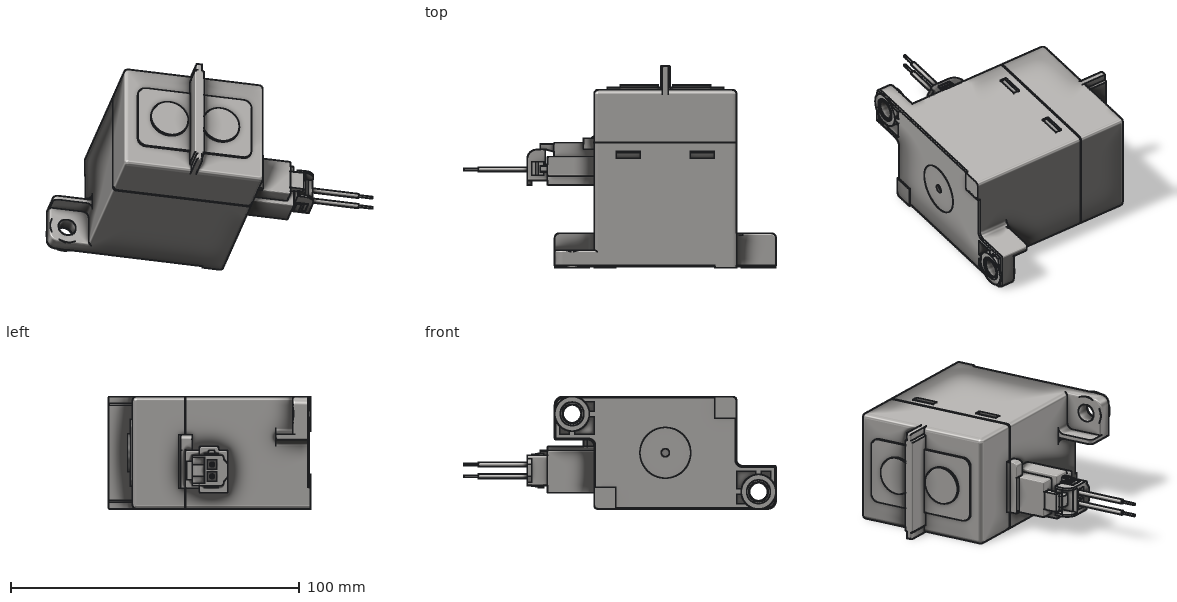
import cadquery as cq
import math


case_width = 49.4
case_height = 39.0
case_end = 61.7
mount_face = 0.4
case_edge_radius = 1.4
end_edge_radius = 1.5
mount_edge_chamfer = 0.5
half_width = case_width / 2
half_height = case_height / 2

ear_reach = 38.4
ear_height = 15.0
ear_thickness = 6.1
ear_corner_radius = 3.0
ear_root_radius = 2.1
ear_wall = 1.9
ear_rib_depth = 12.0
ear_rib_corner_radius = 1.7
ear_edge_radius = 0.7
ear_inner_z = half_height - ear_height
ear_pocket_depth = 4.0
boss_diameter = 12.0
boss_x = -32.3
boss_z = half_height - boss_diameter / 2
boss_web = 1.9
bore_diameter = 6.2
bore_mouth_diameter = 6.8
bore_mouth_depth = 0.3
bore_seat_diameter = 8.2
bore_seat_depth = 0.2

pad_size = 7.5
disc_recess_diameter = 17.6
disc_recess_depth = 0.1
dimple_diameter = 2.8
dimple_depth = 1.0

seam_y = 43.4
seam_width = 0.25
seam_depth = 0.25
window_length = 8.3
window_width = 2.4
window_depth = 1.2
window_x = 12.85
window_y = 39.2
catch_peak_y = 39.8
catch_height = 0.9

plinth_length = 40.4
plinth_height = 23.2
plinth_corner_radius = 3.0
plinth_top = 62.5
terminal_diameter = 13.2
terminal_x = 9.1
terminal_top = 63.4
fin_width = 3.3
fin_end_width = 2.0
fin_end_length = 2.4
fin_taper_length = 0.6
fin_top = 70.0
fin_edge_radius = 0.5

socket_x = -40.9
socket_y_low = 28.6
socket_y_high = 38.5
socket_z_low = -13.9
socket_z_high = 2.2
socket_step_y = 31.8
socket_step_z = 0.9
socket_edge_radius = 0.5
latch_housing_x = -38.6
latch_housing_z_low = -12.3
latch_housing_z_high = 0.9

guard_x = -28.4
guard_y_low = 41.0
guard_y_high = 44.9
guard_foot_y = 45.7
guard_foot_thickness = 1.0
guard_top = 6.3
guard_corner_radius = 1.6
guard_edge_radius = 0.3
guard_plate_thickness = 1.4

plug_z = -6.1
plug_front = -47.9
plug_back = -41.6
plug_y_low = 30.1
plug_y_high = 41.0
plug_height = 10.6
plug_edge_radius = 0.9
front_face_y = 37.6
shoulder_x = -44.4
lip_back = -46.3
lip_y = 28.6
lip_height = 4.2
neck_y_high = 35.9
neck_depth = 6.0
cheek_thickness = 0.8
back_wall_thickness = 0.6
cheek_floor_y = 36.6
latch_root_front = -44.8
latch_root_height = 4.0
latch_root_radius = 1.8
arm_front = -43.4
arm_y_high = 42.9
arm_height = 6.5
arm_depth = 3.0
arm_hook_y = 40.2
grip_steps = [(-46.3, 11.1), (-44.9, 11.5), (-44.0, 11.9)]
grip_back = -42.2
grip_y_low = 32.0
grip_y_high = 36.8
key_y_low = 33.1
key_y_high = 35.4
key_z = 0.8
key_edge_chamfer = 0.3
cavity_size = 3.3
cavity_depth = 1.5

wire_y = 34.1
wire_pitch = 4.1
wire_diameter = 1.6
strand_diameter = 0.8
insulation_end = -64.8
strand_end = -69.8
wire_inner_end = -44.0
wire_zs = (plug_z - wire_pitch / 2, plug_z + wire_pitch / 2)


def box(x0, x1, y0, y1, z0, z1):
    """Axis-aligned block between the given limits."""
    return cq.Workplane("XY").box(x1 - x0, y1 - y0, z1 - z0, centered=False).translate((x0, y0, z0))


def rod_y(diameter, x, z, y0, y1):
    """Cylinder along Y."""
    start = cq.Vector(x, y0, z)
    rod = cq.Solid.makeCylinder(diameter / 2, y1 - y0, start, cq.Vector(0, 1, 0))
    return cq.Workplane(rod)


def rod_x(diameter, y, z, x0, x1):
    """Cylinder along X."""
    start = cq.Vector(x0, y, z)
    rod = cq.Solid.makeCylinder(diameter / 2, x1 - x0, start, cq.Vector(1, 0, 0))
    return cq.Workplane(rod)


def both_sides(shape):
    """The shape and its copy turned half a turn about Y."""
    return shape.union(shape.rotate((0, 0, 0), (0, 1, 0), 180))


def make_case_block():
    block = box(-half_width, half_width, mount_face, case_end, -half_height, half_height)
    block = block.edges("|Y").fillet(case_edge_radius)
    return block.faces(">Y").edges().fillet(end_edge_radius)


def make_ear():
    """Ear at the -X, +Z corner: a plate with a deeper rib along its lower edge."""
    root_x = -half_width + 2 * case_edge_radius
    plate = box(-ear_reach, root_x, mount_face, ear_thickness, ear_inner_z, half_height)
    plate = plate.edges("|Y and <X and >Z").fillet(ear_corner_radius)
    plate = plate.faces(">Y").edges("not(>X or <Z)").fillet(ear_edge_radius)
    rib = box(-ear_reach, root_x, mount_face, ear_rib_depth, ear_inner_z, ear_inner_z + ear_wall)
    rib = rib.edges("|Z and <X and >Y").fillet(ear_rib_corner_radius)
    ear = plate.union(rib)
    return ear.edges("|Y and <X and <Z").fillet(ear_edge_radius)


def make_root_fillet(z, direction):
    """Concave fillet between the case side and a face of the rib at height z."""
    r = ear_root_radius
    corner_x = -half_width
    mid_x = corner_x - r * (1 - math.sqrt(0.5))
    mid_z = z + direction * r * (1 - math.sqrt(0.5))
    depth = ear_rib_depth - mount_face
    return (
        cq.Workplane("XZ", origin=(0, ear_rib_depth, 0))
        .moveTo(corner_x, z)
        .lineTo(corner_x - r, z)
        .threePointArc((mid_x, mid_z), (corner_x, z + direction * r))
        .close()
        .extrude(depth)
    )


def make_ear_pocket():
    """Recess in the mounting side of the ear, around the boss and its two webs."""
    pocket = box(
        -ear_reach + ear_wall,
        -half_width,
        0,
        ear_pocket_depth,
        ear_inner_z + ear_wall,
        half_height - ear_wall,
    )
    side_web = box(boss_x, 0, 0, ear_pocket_depth, boss_z - boss_web / 2, boss_z + boss_web / 2)
    lower_web = box(boss_x - boss_web / 2, boss_x + boss_web / 2, 0, ear_pocket_depth, 0, boss_z)
    boss = rod_y(boss_diameter, boss_x, boss_z, 0, ear_pocket_depth)
    return pocket.cut(side_web).cut(lower_web).cut(boss)


def make_bore():
    bore = rod_y(bore_diameter, boss_x, boss_z, 0, ear_rib_depth)
    mouth = rod_y(bore_mouth_diameter, boss_x, boss_z, 0, bore_mouth_depth)
    seat = rod_y(bore_seat_diameter, boss_x, boss_z, 0, bore_seat_depth)
    return bore.union(mouth).union(seat)


def make_pad():
    """Corner pad at the +X, +Z corner of the mounting face."""
    pad = box(
        half_width - pad_size,
        half_width,
        0,
        mount_face + mount_edge_chamfer,
        half_height - pad_size,
        half_height,
    )
    return pad.edges("|Y and >X and >Z").fillet(case_edge_radius)


def make_seam_groove():
    y0 = seam_y - seam_width / 2
    y1 = seam_y + seam_width / 2
    outer = box(-half_width, half_width, y0, y1, -half_height, half_height)
    core = box(
        -half_width + seam_depth,
        half_width - seam_depth,
        y0,
        y1,
        -half_height + seam_depth,
        half_height - seam_depth,
    )
    return outer.cut(core.edges("|Y").fillet(case_edge_radius - seam_depth))


def make_snap_window(x):
    """Window in the +Z face with a ridge-shaped catch on its floor."""
    floor_z = half_height - window_depth
    y0 = window_y - window_width / 2
    y1 = window_y + window_width / 2
    x0 = x - window_length / 2
    window = box(x0, x0 + window_length, y0, y1, floor_z, half_height)
    catch = (
        cq.Workplane("YZ", origin=(x0, 0, 0))
        .polyline([(y0, floor_z), (y1, floor_z), (catch_peak_y, floor_z + catch_height)])
        .close()
        .extrude(window_length)
    )
    return window.cut(catch)


def make_fin():
    """Barrier between the terminals, thinner at its two ends."""
    length_from = case_end - end_edge_radius
    thick_z = half_height - fin_end_length - fin_taper_length
    taper_z = half_height - fin_end_length
    half_side = [
        (fin_end_width / 2, half_height),
        (fin_end_width / 2, taper_z),
        (fin_width / 2, thick_z),
    ]
    right_side = half_side + [(x, -z) for x, z in reversed(half_side)]
    left_side = [(-x, z) for x, z in reversed(right_side)]
    fin = (
        cq.Workplane("XZ", origin=(0, fin_top, 0))
        .polyline(right_side + left_side)
        .close()
        .extrude(fin_top - length_from)
    )
    return fin.faces(">Y").edges().fillet(fin_edge_radius)


def make_terminal_end():
    plinth = box(
        -plinth_length / 2,
        plinth_length / 2,
        case_end - end_edge_radius,
        plinth_top,
        -plinth_height / 2,
        plinth_height / 2,
    )
    end = plinth.edges("|Y").fillet(plinth_corner_radius).union(make_fin())
    for x in (-terminal_x, terminal_x):
        end = end.union(rod_y(terminal_diameter, x, 0, plinth_top, terminal_top))
    return end


def make_socket():
    main = box(socket_x, -half_width, socket_y_low, socket_y_high, socket_z_low, socket_z_high)
    step = box(socket_x, -half_width, socket_y_low, socket_step_y, socket_step_z, socket_z_high)
    main = main.cut(step).edges("|X or <X").fillet(socket_edge_radius)
    latch_housing = box(
        latch_housing_x,
        -half_width,
        socket_y_high - socket_edge_radius,
        seam_y,
        latch_housing_z_low,
        latch_housing_z_high,
    )
    latch_housing = latch_housing.edges("<X or (|X and >Y)").fillet(socket_edge_radius)
    return main.union(latch_housing)


def make_guard():
    """Wall along the socket with a broader tab, rounded at its outer top corner."""
    root_x = -half_width
    tab = box(guard_x, root_x, guard_y_low, guard_y_high, latch_housing_z_high, guard_top)
    tab = tab.edges("|Y and <X and >Z").fillet(guard_corner_radius)
    tab = tab.edges("(|X and >Z) or (|Z and <X)").fillet(guard_edge_radius)
    hollow = box(
        guard_x + guard_plate_thickness,
        root_x,
        guard_y_low,
        seam_y,
        latch_housing_z_high,
        guard_top - guard_corner_radius,
    )
    tab = tab.cut(hollow)
    wall = box(guard_x, root_x, seam_y, guard_y_high, latch_housing_z_low, latch_housing_z_high)
    foot = (
        cq.Workplane("XY", origin=(0, 0, latch_housing_z_low))
        .polyline([
            (root_x, guard_y_high),
            (root_x - guard_foot_thickness, guard_y_high),
            (root_x, guard_foot_y),
        ])
        .close()
        .extrude(guard_top - latch_housing_z_low)
    )
    return tab.union(wall).union(foot)


def make_housing():
    ear = make_ear()
    fillets = make_root_fillet(ear_inner_z, -1).union(make_root_fillet(ear_inner_z + ear_wall, 1))
    housing = make_case_block().union(both_sides(ear.union(fillets)))
    housing = housing.faces("<Y").edges().chamfer(mount_edge_chamfer)
    housing = housing.cut(both_sides(make_ear_pocket()))
    housing = housing.union(both_sides(rod_y(boss_diameter, boss_x, boss_z, 0, ear_thickness)))
    housing = housing.union(both_sides(make_pad()))
    housing = housing.cut(both_sides(make_bore()))
    housing = housing.cut(rod_y(disc_recess_diameter, 0, 0, 0, mount_face + disc_recess_depth))
    housing = housing.cut(rod_y(dimple_diameter, 0, 0, 0, mount_face + dimple_depth))
    housing = housing.cut(make_seam_groove())
    for x in (-window_x, window_x):
        housing = housing.cut(make_snap_window(x))
    return housing.union(make_terminal_end()).union(make_socket()).union(make_guard())


def make_plug_shell():
    """Plug body with a rounded shoulder, hollow between its two cheeks on the latch side."""
    arc_share = math.sqrt(0.5)
    arc_middle = (
        shoulder_x + (plug_front - shoulder_x) * arc_share,
        front_face_y + (plug_y_high - front_face_y) * arc_share,
    )
    shell = (
        cq.Workplane("XY", origin=(0, 0, plug_z - plug_height / 2))
        .moveTo(plug_front, plug_y_low)
        .lineTo(plug_front, front_face_y)
        .threePointArc(arc_middle, (shoulder_x, plug_y_high))
        .lineTo(plug_back, plug_y_high)
        .lineTo(plug_back, plug_y_low)
        .close()
        .extrude(plug_height)
    )
    half_gap = plug_height / 2 - cheek_thickness
    gap = box(
        plug_front,
        plug_back - back_wall_thickness,
        cheek_floor_y,
        plug_y_high,
        plug_z - half_gap,
        plug_z + half_gap,
    )
    return shell.cut(gap)


def make_latch_root():
    """Rounded block between the cheeks that carries the latch arm."""
    root = box(
        latch_root_front,
        plug_back,
        cheek_floor_y,
        plug_y_high,
        plug_z - latch_root_height / 2,
        plug_z + latch_root_height / 2,
    )
    return root.edges("|Z and <X").fillet(latch_root_radius)


def make_lip():
    """Tapered lip along the front of the plug."""
    return (
        cq.Workplane("YZ", origin=(plug_front, 0, plug_z))
        .polyline([
            (plug_y_low + plug_edge_radius, -plug_height / 2),
            (plug_y_low + plug_edge_radius, plug_height / 2),
            (lip_y, lip_height / 2),
            (lip_y, -lip_height / 2),
        ])
        .close()
        .extrude(lip_back - plug_front)
    )


def make_latch_arm():
    arm_end = latch_housing_x + arm_depth
    return (
        cq.Workplane("XY", origin=(0, 0, plug_z - arm_height / 2))
        .polyline([
            (arm_front, plug_y_high),
            (arm_front, arm_y_high),
            (arm_end, arm_y_high),
            (arm_end, arm_hook_y),
            (latch_housing_x, arm_hook_y),
            (plug_back, plug_y_high),
        ])
        .close()
        .extrude(arm_height)
    )


def make_neck():
    """Part of the plug that sits in the socket."""
    return box(
        plug_back,
        socket_x + neck_depth,
        plug_y_low,
        neck_y_high,
        plug_z - plug_height / 2,
        plug_z + plug_height / 2,
    )


def make_plug():
    plug = make_plug_shell().union(make_neck())
    plug = plug.edges("|X and <Y").fillet(plug_edge_radius)
    plug = plug.union(make_lip()).union(make_latch_root()).union(make_latch_arm())
    for front, height in grip_steps:
        grip = box(front, grip_back, grip_y_low, grip_y_high, plug_z - height / 2, plug_z + height / 2)
        plug = plug.union(grip)
    key = box(arm_front, socket_x, key_y_low, key_y_high, plug_z, key_z)
    plug = plug.union(key.edges("|X and >Z").chamfer(key_edge_chamfer))
    for z in wire_zs:
        cavity = box(
            plug_front,
            plug_front + cavity_depth,
            wire_y - cavity_size / 2,
            wire_y + cavity_size / 2,
            z - cavity_size / 2,
            z + cavity_size / 2,
        )
        plug = plug.cut(cavity).cut(rod_x(wire_diameter, wire_y, z, plug_front, wire_inner_end))
    return plug


def make_wire(z):
    """Insulated wire with its bare strand sticking out at the free end."""
    insulation = rod_x(wire_diameter, wire_y, z, insulation_end, wire_inner_end)
    return insulation.union(rod_x(strand_diameter, wire_y, z, strand_end, insulation_end))


plug = make_plug()
housing = make_housing().cut(plug)
wires = [make_wire(z).solids().val() for z in wire_zs]

result = cq.Compound.makeCompound([housing.solids().val(), plug.solids().val(), *wires])